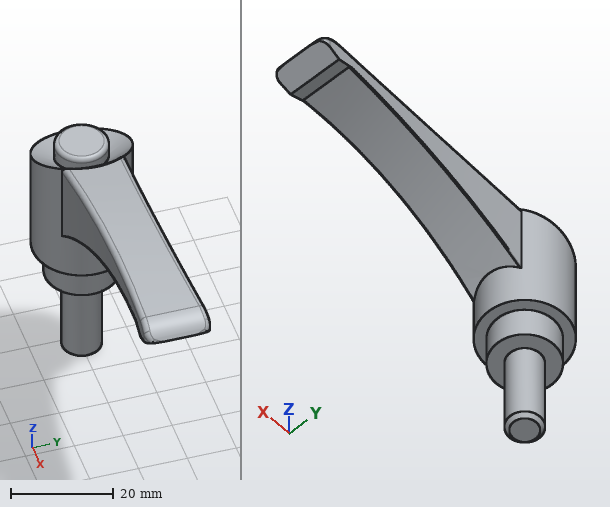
import cadquery as cq
import math

hub_diameter = 20.0
hub_radius = hub_diameter / 2
hub_blank_height = 33.6

dish_apex_x = 4.85
dish_apex_z = 21.8
dish_tilt = 29
dish_half_angle = 66.5
dish_cone_side = 44.8

button_diameter = 10.75
button_top = 26.45
button_fillet = 1.0

collar_diameter = 15.0
collar_height = 7.5
stud_diameter = 8.0
stud_end_z = -27.65
stud_chamfer = 1.0

total_length = 74.7
tip_x = total_length - hub_radius
tip_point = (tip_x, 30.5)
arm_root_x = 3.7
root_top = (arm_root_x, 27.0)
root_bottom = (arm_root_x, 6.7)
back_middle = (32.1, 31.7)
back_end = (59.8, 33.3)
nose_middle = (62.8, 32.4)
heel = (59.55, 28.25)
underside_end = (56.35, 29.0)
underside_middle = (27.6, 21.7)
underside_start = (7.8, 9.7)

root_half_width = 6.65
waist_half_width = 5.75
tip_half_width = 6.9
waist_x = 32.1
tip_corner_radius = 2.25

back_fillet = 1.1
underside_fillet = 0.2


def cylinder(diameter, bottom, top):
    """Upright cylinder on the clamping axis."""
    return cq.Workplane("XY").workplane(offset=bottom).circle(diameter / 2).extrude(top - bottom)


def make_dish_cutter():
    """Tilted cone opening upwards, limited to the hub's cylinder."""
    half_angle = math.radians(dish_half_angle)
    cone_height = dish_cone_side * math.cos(half_angle)
    cone_radius = dish_cone_side * math.sin(half_angle)
    cone = (
        cq.Workplane("XZ")
        .polyline([(0, 0), (cone_radius, cone_height), (0, cone_height)])
        .close()
        .revolve(360, (0, 0, 0), (0, 1, 0))
        .rotate((0, 0, 0), (0, 1, 0), -dish_tilt)
        .translate((dish_apex_x, 0, dish_apex_z))
    )
    return cone.intersect(cylinder(hub_diameter, 0, hub_blank_height))


def make_arm_profile():
    """Curved side profile, extruded wider than the arm."""
    return (
        cq.Workplane("XZ")
        .moveTo(*root_top)
        .threePointArc(back_middle, back_end)
        .threePointArc(nose_middle, tip_point)
        .lineTo(*heel)
        .lineTo(*underside_end)
        .threePointArc(underside_middle, underside_start)
        .lineTo(*root_bottom)
        .close()
        .extrude(hub_radius, both=True)
    )


def make_arm_plan():
    """Waisted plan outline with rounded tip corners, taller than the arm."""
    return (
        cq.Workplane("XY")
        .moveTo(arm_root_x, -root_half_width)
        .threePointArc((waist_x, -waist_half_width), (tip_x, -tip_half_width))
        .lineTo(tip_x, tip_half_width)
        .threePointArc((waist_x, waist_half_width), (arm_root_x, root_half_width))
        .close()
        .extrude(hub_blank_height)
        .edges("|Z and >X")
        .fillet(tip_corner_radius)
    )


def long_edges_between(low, high):
    """Selects edges centred halfway along the arm, between two heights."""
    return cq.selectors.BoxSelector((14.95, -hub_radius, low), (44.8, hub_radius, high))


def make_arm():
    arm = make_arm_profile().intersect(make_arm_plan())
    arm = arm.edges(long_edges_between(29.15, hub_blank_height)).fillet(back_fillet)
    return arm.edges(long_edges_between(14.95, 25.4)).fillet(underside_fillet)


hub = cylinder(hub_diameter, 0, hub_blank_height)
handle = hub.union(make_arm()).cut(make_dish_cutter())

button = cylinder(button_diameter, 0, button_top).faces(">Z").edges().fillet(button_fillet)
collar = cylinder(collar_diameter, -collar_height, 0)
stud = cylinder(stud_diameter, stud_end_z, 0).faces("<Z").chamfer(stud_chamfer)

result = handle.union(collar).union(stud).union(button)